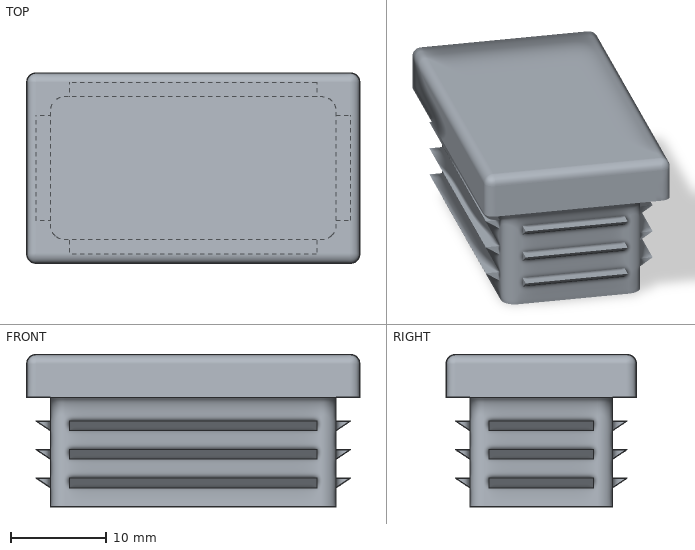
import cadquery as cq

cap_length = 35.0
cap_width = 20.0
cap_height = 4.5
cap_radius = 1.0

total_height = 16.0
plug_inset = 2.5
plug_length = cap_length - 2 * plug_inset
plug_width = cap_width - 2 * plug_inset
plug_height = total_height - cap_height
plug_corner_radius = 1.5

fin_count = 3
fin_pitch = 3.0
fin_reach = 1.5
fin_height = 1.0
fin_end_gap = 2.0
first_fin_drop = 2.5
fin_root_overlap = 0.5


def make_cap():
    cap = cq.Workplane("XY").workplane(offset=plug_height).rect(cap_length, cap_width).extrude(cap_height)
    return cap.edges("|Z").fillet(cap_radius).faces(">Z").edges().fillet(cap_radius)


def make_plug():
    plug = cq.Workplane("XY").rect(plug_length, plug_width).extrude(plug_height)
    return plug.edges("|Z").fillet(plug_corner_radius)


def make_fin(wall_distance, fin_length, top_z):
    """Fin on the +X wall, at wall_distance from the centre and running along Y."""
    root = wall_distance - fin_root_overlap
    return (
        cq.Workplane("XZ")
        .moveTo(root, top_z)
        .lineTo(wall_distance + fin_reach, top_z)
        .lineTo(wall_distance, top_z - fin_height)
        .lineTo(root, top_z - fin_height)
        .close()
        .extrude(fin_length / 2, both=True)
    )


def add_fins(body):
    end_fin_length = plug_width - 2 * fin_end_gap
    side_fin_length = plug_length - 2 * fin_end_gap
    walls = [
        (0, plug_length / 2, end_fin_length),
        (90, plug_width / 2, side_fin_length),
        (180, plug_length / 2, end_fin_length),
        (270, plug_width / 2, side_fin_length),
    ]
    for row in range(fin_count):
        top_z = plug_height - first_fin_drop - row * fin_pitch
        for angle, wall_distance, fin_length in walls:
            fin = make_fin(wall_distance, fin_length, top_z)
            body = body.union(fin.rotate((0, 0, 0), (0, 0, 1), angle))
    return body


result = add_fins(make_cap().union(make_plug()))